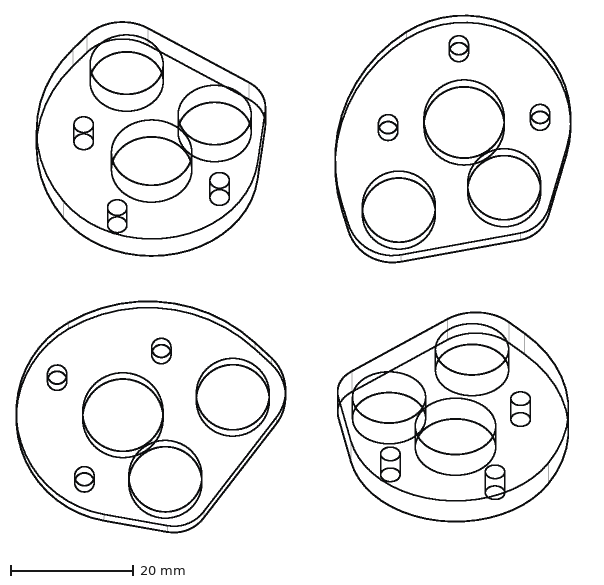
import cadquery as cq
import math

thickness = 4.8

rim_radius = 17.5
belly_radius = 25.55
junction_angle = -79.0
rim = (0.0, 0.0, rim_radius)
top_corner = (-3.45, 15.2, 6.05)
left_corner = (-19.2, 3.0, 7.55)

central_hole_diameter = 13.2
port_diameter = 12.0
port_centres = [(-2.9, 12.5), (-17.95, 3.25)]
bolt_hole_diameter = 3.2
bolt_circle_radius = 12.5
bolt_angles = [-140, -50, 40]


def polar(circle, angle):
    """Point on a circle at an angle in radians."""
    x, y, radius = circle
    return (x + radius * math.cos(angle), y + radius * math.sin(angle))


def tangent_angle(first, second):
    """Normal angle of the outer tangent, going counter-clockwise from first to second."""
    dx = second[0] - first[0]
    dy = second[1] - first[1]
    lean = math.acos((first[2] - second[2]) / math.hypot(dx, dy))
    return math.atan2(dy, dx) - lean


def add_arc(outline, circle, start, end):
    """Continue the outline counter-clockwise along a circle."""
    sweep = (end - start) % (2 * math.pi)
    return outline.threePointArc(polar(circle, start + sweep / 2), polar(circle, end))


junction = math.radians(junction_angle)
centre_offset = belly_radius - rim_radius
belly = (-centre_offset * math.cos(junction), -centre_offset * math.sin(junction), belly_radius)

right_edge = tangent_angle(rim, top_corner)
upper_left_edge = tangent_angle(top_corner, left_corner)
lower_left_edge = tangent_angle(left_corner, belly)

outline = cq.Workplane("XY").moveTo(*polar(rim, junction))
outline = add_arc(outline, rim, junction, right_edge)
outline = outline.lineTo(*polar(top_corner, right_edge))
outline = add_arc(outline, top_corner, right_edge, upper_left_edge)
outline = outline.lineTo(*polar(left_corner, upper_left_edge))
outline = add_arc(outline, left_corner, upper_left_edge, lower_left_edge)
outline = outline.lineTo(*polar(belly, lower_left_edge))
outline = add_arc(outline, belly, lower_left_edge, junction)
plate = outline.close().extrude(thickness)


def through_holes(centres, diameter):
    """Cylinders that cut right through the plate."""
    return cq.Workplane("XY").pushPoints(centres).circle(diameter / 2).extrude(thickness)


bolt_circle = (0.0, 0.0, bolt_circle_radius)
bolt_centres = [polar(bolt_circle, math.radians(angle)) for angle in bolt_angles]

result = (
    plate
    .cut(through_holes([(0.0, 0.0)], central_hole_diameter))
    .cut(through_holes(port_centres, port_diameter))
    .cut(through_holes(bolt_centres, bolt_hole_diameter))
)